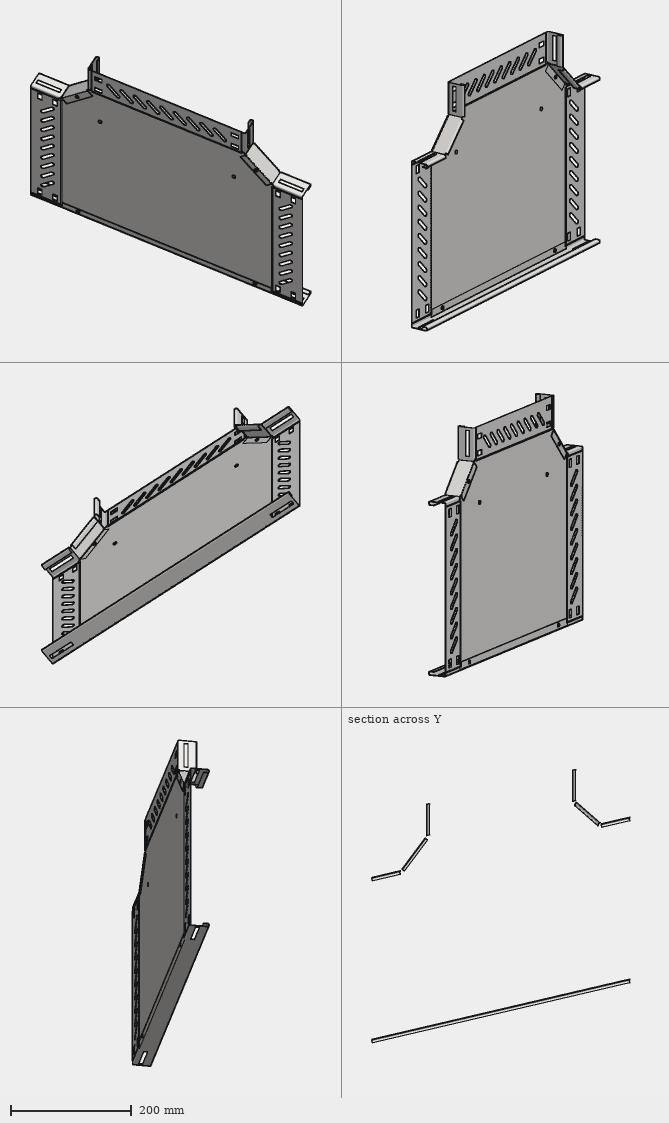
import cadquery as cq
import math

length = 508.5
height = 402.0
depth = 32.0
sheet = 1.25

front = -depth / 2
back = depth / 2
bottom = -height / 2
top = height / 2

arm_width = 295.5
arm_length = 58.0
arm_half = arm_width / 2
end_setback = 0.25
side_arm_z = bottom + arm_half
side_arm_top = bottom + arm_width
side_neck_x = length / 2 - arm_length
top_neck_z = top - arm_length
step_overlap = 2.5
bracket_side_run = 56.5
side_corner_x = length / 2 - bracket_side_run
top_corner_z = side_arm_top + side_corner_x - arm_half
diagonal = math.sqrt(0.5)
diagonal_length = (side_corner_x - arm_half) / diagonal
diagonal_middle_x = (side_corner_x + arm_half) / 2
diagonal_middle_z = (side_arm_top + top_corner_z) / 2

foot_bend = 2.0
lip_bend = 3.0
foot_width = 6.5
wide_foot = 14.5
lip_width = 7.0
return_depth = 9.5
fold_gap = 1.0
diagonal_gap = 3.0
foot_chamfer = 5.0
foot_clearance = 1.25

slot_count = 9
slot_pitch = 25.0
slot_length = 32.5
slot_width = 6.5
bolt_slot_length = 13.5
bolt_slot_width = 8.0
bolt_slot_offset = 127.5
bolt_slot_half_gap = 14.0
openings_from_end = 31.5
wall_slot_length = 43.5
wall_slot_width = 6.5
wall_slot_from_end = 27.5
wall_slot_y = -2.8
hole_diameter = 6.5
floor_hole = (125.0, 70.5)
rail_hole = (165.0, bottom + 8.5)
corner_hole_inset = 7.5
corner_hole = (
    diagonal_middle_x - corner_hole_inset * diagonal,
    diagonal_middle_z - corner_hole_inset * diagonal,
)
cutter = 4 * sheet


def slab(points, y_start, y_end):
    """Prism with an outline given in X and Z, between two Y levels."""
    outline = cq.Workplane("XZ", origin=(0, y_start, 0)).polyline(points).close()
    return outline.extrude(y_start - y_end)


def block(x_start, x_end, y_start, y_end, z_start, z_end):
    """Box between two opposite corners."""
    size = (x_end - x_start, y_end - y_start, z_end - z_start)
    return cq.Workplane("XY", origin=(x_start, y_start, z_start)).box(*size, centered=False)


def both_sides(shape):
    """Shape together with its mirror image across the middle of the tee."""
    return shape.union(shape.mirror("YZ"))


def screw_hole(x, z):
    """Drill through the floor and the foot below it."""
    drill = cq.Workplane("XZ", origin=(x, front - sheet, z)).circle(hole_diameter / 2)
    return drill.extrude(-cutter)


def folded_strip(start, inward, run):
    """Straight foot, wall, lip and return; the wall's outer face begins at start (x, z)."""
    inward_dir = cq.Vector(inward[0], 0, inward[1])
    run_dir = inward_dir.cross(cq.Vector(0, 1, 0))
    plane = cq.Plane(origin=(start[0], 0, start[1]), xDir=inward_dir, normal=run_dir)
    section = (
        cq.Workplane(plane)
        .moveTo(foot_width, front)
        .lineTo(foot_bend, front)
        .tangentArcPoint((0, front + foot_bend), relative=False)
        .lineTo(0, back - lip_bend)
        .tangentArcPoint((lip_bend, back), relative=False)
        .lineTo(lip_width - lip_bend, back)
        .tangentArcPoint((lip_width, back - lip_bend), relative=False)
        .lineTo(lip_width, back - return_depth)
        .lineTo(lip_width - sheet, back - return_depth)
        .lineTo(lip_width - sheet, back - lip_bend)
        .tangentArcPoint((lip_width - lip_bend, back - sheet), relative=False)
        .lineTo(lip_bend, back - sheet)
        .tangentArcPoint((sheet, back - lip_bend), relative=False)
        .lineTo(sheet, front + foot_bend)
        .tangentArcPoint((foot_bend, front + sheet), relative=False)
        .lineTo(foot_width, front + sheet)
        .close()
    )
    return section.extrude(run)


def side_wall_slot(z):
    """Long slot through the wall of the left side arm at height z."""
    middle = -length / 2 + wall_slot_from_end
    slot = cq.Workplane("XY").box(wall_slot_length, wall_slot_width, cutter)
    return slot.translate((middle, wall_slot_y, z))


def arm_panel():
    """Perforated panel of the top arm, with a sloped edge where it steps up to the centre sheet."""
    half_panel = arm_half - foot_width - foot_clearance
    side_profile = [
        (front, top),
        (front, top_neck_z + sheet),
        (front + sheet, top_neck_z),
        (front + sheet, top),
    ]
    panel = cq.Workplane("YZ").polyline(side_profile).close().extrude(half_panel, both=True)
    middle_z = top - openings_from_end
    face = cq.Workplane("XZ", origin=(0, front, middle_z))
    first_slot = -(slot_count - 1) / 2 * slot_pitch
    slot_places = [(first_slot + i * slot_pitch, 0) for i in range(slot_count)]
    slots = face.pushPoints(slot_places).slot2D(slot_length, slot_width, -45).extrude(-sheet)
    bolt_places = [
        (side * bolt_slot_offset, row * bolt_slot_half_gap) for side in (-1, 1) for row in (-1, 1)
    ]
    bolt_slots = face.pushPoints(bolt_places).rect(bolt_slot_length, bolt_slot_width).extrude(-sheet)
    return panel.cut(slots).cut(bolt_slots)


def side_arm_panel(side):
    """The same panel turned to the left (side -1) or right (side 1) and moved to that arm."""
    turned = arm_panel().translate((0, 0, -top)).rotate((0, 0, 0), (0, 1, 0), side * 90)
    return turned.translate((side * length / 2, 0, side_arm_z))


def make_floor():
    """Centre sheet with its three arm panels and screw holes."""
    side = side_neck_x + step_overlap
    upper = top_neck_z + step_overlap
    corner_line = side_corner_x + side_arm_top - foot_bend / diagonal
    right_edge = [
        (side, bottom + foot_bend),
        (side, corner_line - side),
        (corner_line - upper, upper),
    ]
    left_edge = [(-x, z) for x, z in reversed(right_edge)]
    floor = slab(right_edge + left_edge, front + sheet, front + 2 * sheet)
    floor = floor.union(arm_panel()).union(side_arm_panel(-1)).union(side_arm_panel(1))
    for x, z in (floor_hole, rail_hole, corner_hole):
        floor = floor.cut(both_sides(screw_hole(x, z)))
    return floor


def bracket_wall():
    """Continuous bent wall between the foot bends and the lip bends of the left bracket."""
    miter = sheet * math.tan(math.pi / 8)
    outer = [
        (-length / 2 + end_setback, side_arm_top),
        (-side_corner_x, side_arm_top),
        (-arm_half, top_corner_z),
        (-arm_half, top - end_setback),
    ]
    inner = [
        (-arm_half + sheet, top - end_setback),
        (-arm_half + sheet, top_corner_z - miter),
        (-side_corner_x + miter, side_arm_top - sheet),
        (-length / 2 + end_setback, side_arm_top - sheet),
    ]
    return slab(outer + inner, front + foot_bend, back - lip_bend)


def diagonal_foot():
    """Wide screw foot along the diagonal wall."""
    reach = wide_foot - foot_bend
    run = diagonal_length - 2 * fold_gap
    foot = cq.Workplane("XY").box(reach, sheet, run, centered=(False, False, True))
    foot = foot.translate((foot_bend, front, 0)).rotate((0, 0, 0), (0, 1, 0), 45)
    return foot.translate((-diagonal_middle_x, 0, diagonal_middle_z))


def foot_corner_cuts():
    """Two wedges that chamfer the narrow feet where they come near the diagonal foot."""
    upper_corner = (-arm_half + foot_width, top_corner_z + fold_gap)
    lower_corner = (-side_corner_x - fold_gap, side_arm_top - foot_width)
    cuts = cq.Workplane("XY")
    for x, z in (upper_corner, lower_corner):
        wedge = [(x, z), (x, z + foot_chamfer), (x - foot_chamfer, z)]
        cuts = cuts.add(slab(wedge, front, front + sheet))
    return cuts.combine()


def make_left_bracket():
    """Bracket between the left side arm and the top arm."""
    top_run = top - end_setback - top_corner_z - fold_gap
    side_run = bracket_side_run - end_setback - fold_gap
    gap_step = diagonal_gap * diagonal
    bracket = bracket_wall()
    bracket = bracket.union(folded_strip((-arm_half, top_corner_z + fold_gap), (1, 0), top_run))
    bracket = bracket.union(folded_strip((-length / 2 + end_setback, side_arm_top), (0, -1), side_run))
    diagonal_start = (-side_corner_x + gap_step, side_arm_top + gap_step)
    diagonal_run = diagonal_length - 2 * diagonal_gap
    bracket = bracket.union(folded_strip(diagonal_start, (diagonal, -diagonal), diagonal_run))
    bracket = bracket.union(diagonal_foot())
    bracket = bracket.cut(foot_corner_cuts())
    top_slot = cq.Workplane("XY").box(cutter, wall_slot_width, wall_slot_length)
    bracket = bracket.cut(top_slot.translate((-arm_half, wall_slot_y, top - wall_slot_from_end)))
    bracket = bracket.cut(side_wall_slot(side_arm_top))
    return bracket.cut(screw_hole(-corner_hole[0], corner_hole[1]))


def make_rail():
    """Rail over the full length of the tee."""
    half_rail = length / 2 - end_setback
    half_foot = side_neck_x - fold_gap
    rail = folded_strip((half_rail, bottom), (0, 1), 2 * half_rail)
    rail = rail.union(
        block(-half_foot, half_foot, front, front + sheet, bottom + foot_bend, bottom + wide_foot)
    )
    rail = rail.cut(both_sides(side_wall_slot(bottom)))
    return rail.cut(both_sides(screw_hole(*rail_hole)))


floor = make_floor()
left_bracket = make_left_bracket()
right_bracket = left_bracket.mirror("YZ")
rail = make_rail()

result = cq.Compound.makeCompound([floor.val(), left_bracket.val(), right_bracket.val(), rail.val()])